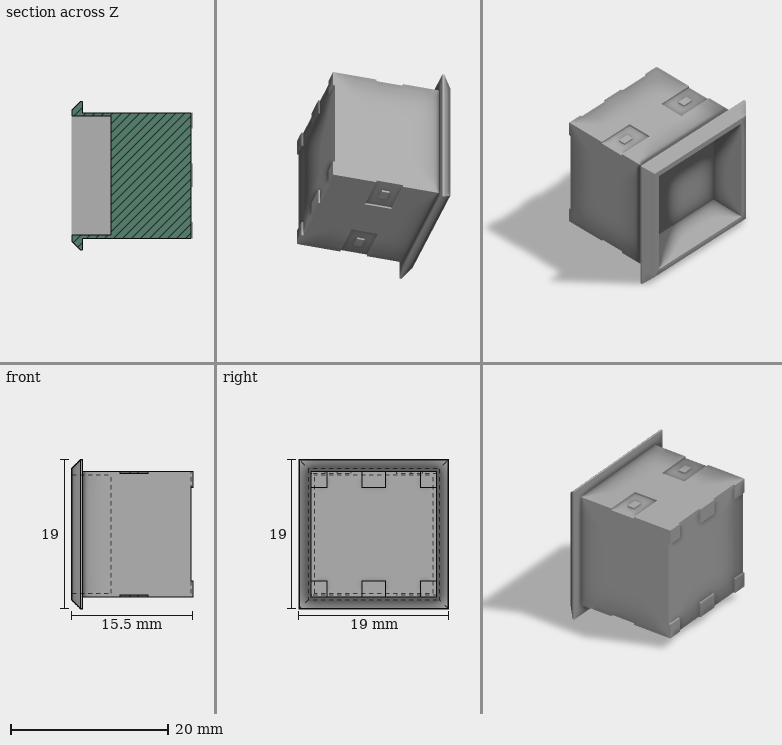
import cadquery as cq

total_depth = 15.49
bezel_size = 19.0
bezel_depth = 1.4
bezel_chamfer = 1.15
body_size = 16.0

cavity_size = 15.1
cavity_depth = 5.0

foot_height = 0.25
corner_foot_size = 2.05
middle_foot_width = 3.0

recess_depth = 0.25
recess_width = 3.55
recess_length = 5.1
recess_center_x = 7.95

pad_width = 1.0
pad_length = 1.5
pad_center_y = 5.45

half_bezel = bezel_size / 2
half_body = body_size / 2
back_x = total_depth - foot_height


def block(x_start, x_length, y_center, y_length, z_center, z_length):
    """Box given by its X start and length, and its Y and Z centres and lengths."""
    center_x = x_start + x_length / 2
    return cq.Workplane("XY").box(x_length, y_length, z_length).translate((center_x, y_center, z_center))


def make_bezel():
    """Square flange with its front edges chamfered."""
    flange = block(0, bezel_depth, 0, bezel_size, 0, bezel_size)
    return flange.faces("<X").chamfer(bezel_chamfer)


def make_feet():
    """Three feet along the top edge and three along the bottom edge of the back face."""
    foot_center = half_body - corner_foot_size / 2
    foot_layout = [
        (-foot_center, corner_foot_size),
        (0, middle_foot_width),
        (foot_center, corner_foot_size),
    ]
    feet = cq.Workplane("XY")
    for z_center in (-foot_center, foot_center):
        for y_center, width in foot_layout:
            feet = feet.add(block(back_x, foot_height, y_center, width, z_center, corner_foot_size))
    return feet.combine()


def make_recess(y_side, z_side):
    """Volume removed for one recess, leaving its pad standing."""
    z_center = z_side * (half_body - recess_depth / 2)
    pocket = block(
        recess_center_x - recess_width / 2, recess_width,
        y_side * (half_body - recess_length / 2), recess_length,
        z_center, recess_depth,
    )
    pad = block(
        recess_center_x - pad_width / 2, pad_width,
        y_side * pad_center_y, pad_length,
        z_center, recess_depth,
    )
    return pocket.cut(pad)


body = block(0, back_x, 0, body_size, 0, body_size)
housing = body.union(make_bezel()).union(make_feet())
housing = housing.cut(block(0, cavity_depth, 0, cavity_size, 0, cavity_size))
for y_side in (-1, 1):
    for z_side in (-1, 1):
        housing = housing.cut(make_recess(y_side, z_side))

result = housing